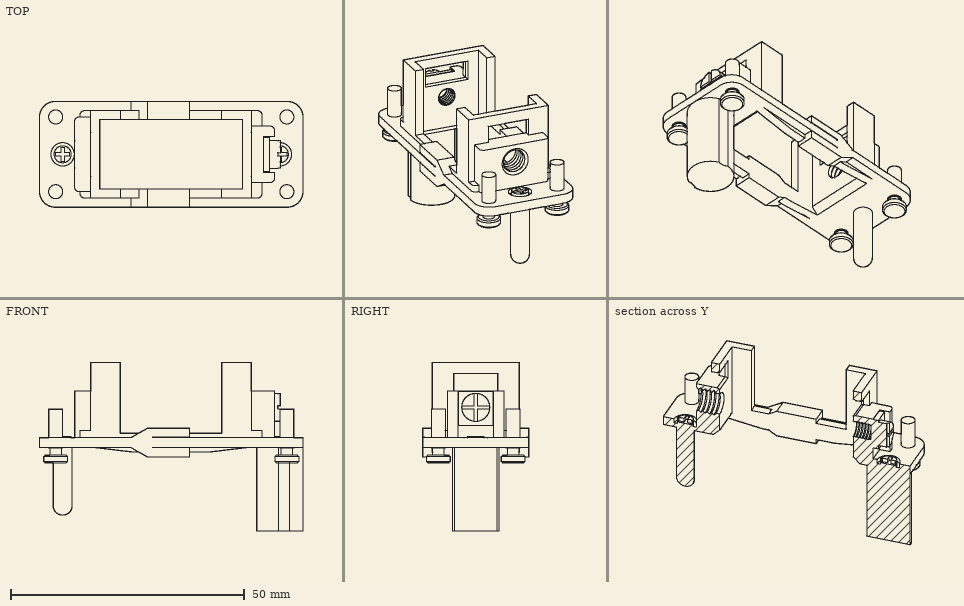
import cadquery as cq

PLATE_LENGTH = 56.5
PLATE_WIDTH = 22.7
PLATE_THICKNESS = 2.1
PLATE_CORNER_RADIUS = 3.45
PLATE_BOTTOM = -PLATE_THICKNESS

FRAME_X = -0.05
OPENING_LENGTH = 30.5
OPENING_WIDTH = 14.8
OPENING_BEVEL = 1.5
FRAME_WALL = 1.95
FRAME_LENGTH = OPENING_LENGTH + 2 * FRAME_WALL
FRAME_WIDTH = OPENING_WIDTH + 2 * FRAME_WALL
FRAME_RIM_HEIGHT = 1.0
LEDGE_LENGTH = 39.0
LEDGE_HEIGHT = 1.5
CORNER_RADIUS = 1.0

SKIRT_DROP = 1.0
SKIRT_BOTTOM_LENGTH = 16.4
SKIRT_TOP_LENGTH = 32.9

UPRIGHT_TOP = 16.1
UPRIGHT_DEPTH = 6.35
WINDOW_WIDTH = 9.4
WINDOW_BOTTOM = 10.0
WINDOW_TOP = 13.7
WINDOW_FLARE = 0.3
WINDOW_FLARE_DEPTH = 0.6

PAD_LEFT = -5.1
PAD_RIGHT = 3.95
PAD_RAMP_LENGTH = 3.55
PAD_HEIGHT = 2.05
PAD_SLIT_LEFT = -4.0
UPPER_SLIT_HEIGHT = 0.15
LOWER_SLIT_HEIGHT = 0.05
PAD_SLIT_DEPTH = 0.4

BLOCK_HEIGHT = WINDOW_BOTTOM
LEFT_BLOCK_FACE = -20.7
LEFT_BLOCK_WIDTH = 16.0
RIGHT_BLOCK_FACE = 22.15
RIGHT_BLOCK_WIDTH = 12.1
NOTCH_FLOOR = 19.8
NOTCH_WIDTH = 7.7

LEFT_HOLE_Z = 6.0
LEFT_HOLE_RADIUS = 2.5
LEFT_HOLE_MOUTH_RADIUS = 3.05
LEFT_THREAD_PITCH = 1.0

RIGHT_HOLE_Z = 6.5
RIGHT_HOLE_RADIUS = 1.75
RIGHT_HOLE_MOUTH_RADIUS = 1.95
RIGHT_HOLE_DEPTH = 4.0
RIGHT_THREAD_PITCH = 0.7
WASHER_SIZE = 7.3
WASHER_RECESS = 0.1
WASHER_TOP = BLOCK_HEIGHT - WASHER_RECESS
WASHER_BOTTOM = WASHER_TOP - WASHER_SIZE
WASHER_THICKNESS = 1.2
SCREW_HEAD_RADIUS = 3.0
SCREW_HEAD_FACE = 23.35
SCREW_SLOT_WIDTH = 0.65
SCREW_SLOT_DEPTH = 0.5

CORNER_SCREW_X = 24.75
CORNER_SCREW_Y = 8.0
SLEEVE_RADIUS = 1.5
SLEEVE_TOP = 6.1
SLEEVE_PROTRUSION = 0.15
SLEEVE_BOTTOM = PLATE_BOTTOM - SLEEVE_PROTRUSION
NECK_RADIUS = 1.25
CORNER_HEAD_RADIUS = 2.55
CORNER_HEAD_TOP = -3.75
CORNER_HEAD_BOTTOM = -5.4
CORNER_HEAD_CHAMFER = 0.32
CORNER_HEAD_CLEARANCE = 3.5

GUIDE_X = 23.25
PIN_RADIUS = 2.05
PIN_BOTTOM = -16.6
POST_RADIUS = 5.0
POST_BOTTOM = -20.0
RECESS_RADIUS = 2.5
RECESS_DEPTH = 1.0
FIXING_HEAD_RADIUS = 1.82
FIXING_HEAD_TOP = 0.28
DRIVE_LENGTH = 3.0
DRIVE_WIDTH = 0.8
DRIVE_DEPTH = 0.9

SIDES = (-1, 1)


def box(x0, x1, width, z0, z1):
    """Box between two X and two Z limits, centred on Y = 0."""
    base = cq.Workplane("XY", origin=((x0 + x1) / 2, 0, z0))
    return base.rect(abs(x1 - x0), width).extrude(z1 - z0)


def rod(x, y, radius, z0, z1):
    """Vertical cylinder."""
    return cq.Workplane("XY", origin=(x, y, z0)).circle(radius).extrude(z1 - z0)


def frame_ring(length, z0, z1):
    """Rectangular band as wide as the frame, with rounded corners."""
    half = length / 2
    return box(FRAME_X - half, FRAME_X + half, FRAME_WIDTH, z0, z1).edges("|Z").fillet(CORNER_RADIUS)


def make_plate():
    plate = box(-PLATE_LENGTH / 2, PLATE_LENGTH / 2, PLATE_WIDTH, PLATE_BOTTOM, 0)
    return plate.edges("|Z").fillet(PLATE_CORNER_RADIUS)


def make_ledges():
    """Low rim around the opening, raised outside the uprights."""
    rim = frame_ring(LEDGE_LENGTH, 0, LEDGE_HEIGHT)
    lowered = box(
        FRAME_X - FRAME_LENGTH / 2, FRAME_X + FRAME_LENGTH / 2, FRAME_WIDTH, FRAME_RIM_HEIGHT, LEDGE_HEIGHT
    )
    return rim.cut(lowered)


def make_skirt():
    points = [
        (FRAME_X - SKIRT_TOP_LENGTH / 2, PLATE_BOTTOM),
        (FRAME_X - SKIRT_BOTTOM_LENGTH / 2, PLATE_BOTTOM - SKIRT_DROP),
        (FRAME_X + SKIRT_BOTTOM_LENGTH / 2, PLATE_BOTTOM - SKIRT_DROP),
        (FRAME_X + SKIRT_TOP_LENGTH / 2, PLATE_BOTTOM),
    ]
    return cq.Workplane("XZ").polyline(points).close().extrude(FRAME_WIDTH / 2, both=True)


def make_pad_slits(z0, z1):
    """Shallow slits running in from both outer sides of the pads."""
    slits = box(PAD_SLIT_LEFT, PAD_RIGHT, PLATE_WIDTH, z0, z1)
    return slits.cut(box(PAD_SLIT_LEFT, PAD_RIGHT, PLATE_WIDTH - 2 * PAD_SLIT_DEPTH, z0, z1))


def make_pads():
    """Thickening across the plate, ramped on its left, with slits in both outer sides."""
    top = PAD_HEIGHT
    bottom = PLATE_BOTTOM - PAD_HEIGHT
    points = [
        (PAD_LEFT - PAD_RAMP_LENGTH, PLATE_BOTTOM),
        (PAD_LEFT - PAD_RAMP_LENGTH, 0),
        (PAD_LEFT, top),
        (PAD_RIGHT, top),
        (PAD_RIGHT, bottom),
        (PAD_LEFT, bottom),
    ]
    pads = cq.Workplane("XZ").polyline(points).close().extrude(PLATE_WIDTH / 2, both=True)
    upper_slits = make_pad_slits(0, UPPER_SLIT_HEIGHT)
    lower_slits = make_pad_slits(PLATE_BOTTOM - LOWER_SLIT_HEIGHT, PLATE_BOTTOM)
    return pads.cut(upper_slits).cut(lower_slits)


def make_upright(side):
    outer = FRAME_X + side * FRAME_LENGTH / 2
    return box(outer, outer - side * UPRIGHT_DEPTH, FRAME_WIDTH, 0, UPRIGHT_TOP)


def make_opening_bevel():
    """45 degree bevels under both ends of the opening, cutting the plate and the skirt."""
    half = OPENING_LENGTH / 2
    spread = OPENING_BEVEL + SKIRT_DROP
    skirt_bottom = PLATE_BOTTOM - SKIRT_DROP
    points = [
        (FRAME_X - half, PLATE_BOTTOM + OPENING_BEVEL),
        (FRAME_X - half - spread, skirt_bottom),
        (FRAME_X + half + spread, skirt_bottom),
        (FRAME_X + half, PLATE_BOTTOM + OPENING_BEVEL),
    ]
    return cq.Workplane("XZ").polyline(points).close().extrude(OPENING_WIDTH / 2, both=True)


def make_left_block():
    block = box(LEFT_BLOCK_FACE, FRAME_X - OPENING_LENGTH / 2, LEFT_BLOCK_WIDTH, 0, BLOCK_HEIGHT)
    return block.edges("|Z and <X").fillet(CORNER_RADIUS)


def make_right_block():
    block = box(FRAME_X + OPENING_LENGTH / 2, RIGHT_BLOCK_FACE, RIGHT_BLOCK_WIDTH, 0, BLOCK_HEIGHT)
    block = block.edges("|Z and >X").fillet(CORNER_RADIUS)
    return block.cut(box(NOTCH_FLOOR, RIGHT_BLOCK_FACE, NOTCH_WIDTH, 0, BLOCK_HEIGHT))


def make_window(side):
    """Window through an upright, flared towards the opening."""
    inner = FRAME_X + side * OPENING_LENGTH / 2
    outer = inner + side * FRAME_WALL
    height = WINDOW_TOP - WINDOW_BOTTOM
    window = box(inner, outer, WINDOW_WIDTH, WINDOW_BOTTOM, WINDOW_TOP)
    flare = (
        cq.Workplane("YZ", origin=(inner, 0, (WINDOW_BOTTOM + WINDOW_TOP) / 2))
        .rect(WINDOW_WIDTH + 2 * WINDOW_FLARE, height + 2 * WINDOW_FLARE)
        .workplane(offset=side * WINDOW_FLARE_DEPTH)
        .rect(WINDOW_WIDTH, height)
        .loft(ruled=True)
    )
    return window.union(flare)


def make_threaded_hole(mouth_x, end_x, z, minor_radius, mouth_radius, pitch):
    """Hole along X with a chamfered mouth and one V groove per thread pitch."""
    direction = 1 if end_x > mouth_x else -1
    length = abs(end_x - mouth_x)
    depth = mouth_radius - minor_radius
    points = [(0, 0), (0, mouth_radius), (depth, minor_radius)]
    groove_count = int((length - depth) / pitch)
    for index in range(groove_count):
        start = depth + index * pitch
        points.append((start + pitch / 2, mouth_radius))
        points.append((start + pitch, minor_radius))
    points.append((length, minor_radius))
    points.append((length, 0))
    placed = [(mouth_x + direction * along, z + radius) for along, radius in points]
    profile = cq.Workplane("XZ").polyline(placed).close()
    return profile.revolve(360, (mouth_x, z, 0), (end_x, z, 0))


def make_terminal_screw():
    """Square washer and cross-slotted screw head in the notch of the right block."""
    washer_face = NOTCH_FLOOR + WASHER_THICKNESS
    washer = box(NOTCH_FLOOR, washer_face, WASHER_SIZE, WASHER_BOTTOM, WASHER_TOP)
    head = cq.Workplane("YZ", origin=(washer_face, 0, RIGHT_HOLE_Z))
    head = head.circle(SCREW_HEAD_RADIUS).extrude(SCREW_HEAD_FACE - washer_face)
    slots = cq.Workplane("YZ", origin=(SCREW_HEAD_FACE, 0, RIGHT_HOLE_Z))
    head_diameter = 2 * SCREW_HEAD_RADIUS
    slot_y = slots.rect(head_diameter, SCREW_SLOT_WIDTH).extrude(-SCREW_SLOT_DEPTH)
    slot_z = slots.rect(SCREW_SLOT_WIDTH, head_diameter).extrude(-SCREW_SLOT_DEPTH)
    return washer.union(head.cut(slot_y).cut(slot_z))


def make_corner_screw(x, y):
    sleeve = rod(x, y, SLEEVE_RADIUS, SLEEVE_BOTTOM, SLEEVE_TOP)
    neck = rod(x, y, NECK_RADIUS, CORNER_HEAD_TOP, SLEEVE_BOTTOM)
    head = rod(x, y, CORNER_HEAD_RADIUS, CORNER_HEAD_BOTTOM, CORNER_HEAD_TOP)
    head = head.faces("<Z or >Z").chamfer(CORNER_HEAD_CHAMFER)
    return sleeve.union(neck).union(head)


def make_guide_pin():
    pin = rod(-GUIDE_X, 0, PIN_RADIUS, PIN_BOTTOM + PIN_RADIUS, PLATE_BOTTOM)
    tip = cq.Workplane("XY", origin=(-GUIDE_X, 0, PIN_BOTTOM + PIN_RADIUS)).sphere(PIN_RADIUS)
    return pin.union(tip)


def make_guide_post():
    """Round post, relieved next to the corner screw heads."""
    post = rod(GUIDE_X, 0, POST_RADIUS, POST_BOTTOM, PLATE_BOTTOM)
    for side in SIDES:
        relief = rod(
            CORNER_SCREW_X, side * CORNER_SCREW_Y, CORNER_HEAD_CLEARANCE, POST_BOTTOM, PLATE_BOTTOM
        )
        post = post.cut(relief)
    return post


def add_fixing_screw(body, x):
    """Recess in the plate holding a cross-drive screw head."""
    body = body.cut(rod(x, 0, RECESS_RADIUS, -RECESS_DEPTH, 0))
    head = rod(x, 0, FIXING_HEAD_RADIUS, -RECESS_DEPTH, FIXING_HEAD_TOP)
    drive = cq.Workplane("XY", origin=(x, 0, FIXING_HEAD_TOP))
    head = head.cut(drive.rect(DRIVE_LENGTH, DRIVE_WIDTH).extrude(-DRIVE_DEPTH))
    head = head.cut(drive.rect(DRIVE_WIDTH, DRIVE_LENGTH).extrude(-DRIVE_DEPTH))
    return body.union(head)


opening_left = FRAME_X - OPENING_LENGTH / 2
opening_right = FRAME_X + OPENING_LENGTH / 2

result = make_plate().union(make_guide_pin()).union(make_guide_post())
for end in SIDES:
    result = add_fixing_screw(result, end * GUIDE_X)

result = result.union(make_ledges()).union(make_skirt()).union(make_pads())
for end in SIDES:
    result = result.union(make_upright(end))
result = result.cut(
    box(opening_left, opening_right, OPENING_WIDTH, PLATE_BOTTOM - PAD_HEIGHT, UPRIGHT_TOP)
)
result = result.cut(make_opening_bevel())

result = result.union(make_left_block()).union(make_right_block()).union(make_terminal_screw())
for end in SIDES:
    result = result.cut(make_window(end))
result = result.cut(
    make_threaded_hole(
        LEFT_BLOCK_FACE, opening_left, LEFT_HOLE_Z,
        LEFT_HOLE_RADIUS, LEFT_HOLE_MOUTH_RADIUS, LEFT_THREAD_PITCH,
    )
)
result = result.cut(
    make_threaded_hole(
        opening_right, opening_right + RIGHT_HOLE_DEPTH, RIGHT_HOLE_Z,
        RIGHT_HOLE_RADIUS, RIGHT_HOLE_MOUTH_RADIUS, RIGHT_THREAD_PITCH,
    )
)

for end in SIDES:
    for side in SIDES:
        result = result.union(make_corner_screw(end * CORNER_SCREW_X, side * CORNER_SCREW_Y))